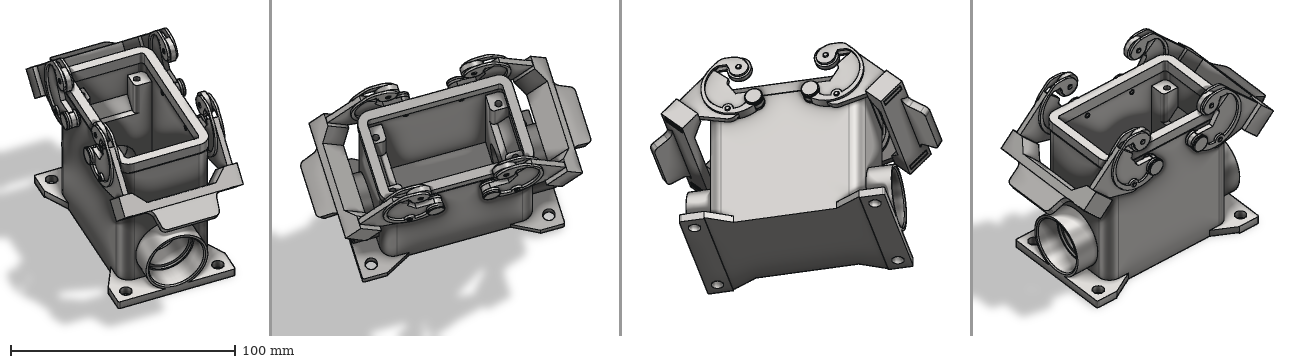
import cadquery as cq
import math

BODY_LENGTH = 71.0
BODY_WIDTH = 44.0
BODY_HALF_X = BODY_LENGTH / 2
BODY_HALF_Y = BODY_WIDTH / 2
BODY_CORNER_R = 6.3
BODY_BOTTOM_Z = 0.5
BODY_TOP_Z = 73.0
BAND_BOTTOM_Z = 67.6
BAND_STEP = 0.4
MOUTH_HALF_X = 31.5
MOUTH_HALF_Y = 17.9
MOUTH_CORNER_R = 1.5
LIP_BOTTOM_Z = 67.1
LIP_OVERHANG = 1.0
CAVITY_HALF_X = MOUTH_HALF_X + LIP_OVERHANG
CAVITY_HALF_Y = MOUTH_HALF_Y + LIP_OVERHANG
CAVITY_CORNER_R = 2.8

FOOT_LENGTH = 94.1
FOOT_WIDTH = 57.0
FOOT_HALF_X = FOOT_LENGTH / 2
FOOT_HALF_Y = FOOT_WIDTH / 2
FOOT_TOP_Z = 4.0
FOOT_WING_X = 23.5
FOOT_CORNER_R = 0.9
FOOT_HOLE_X = 41.3
FOOT_HOLE_Y = 22.4
FOOT_HOLE_D = 5.5
FLOOR_Z = FOOT_TOP_Z

ENTRY_Z = 17.9
ENTRY_D = 30.1
ENTRY_BORE_D = 26.6
ENTRY_SEAT_D = 25.2
ENTRY_HOLE_D = 22.8
ENTRY_CHAMFER = 0.6
ENTRY_SEAT_DEPTH = 1.3

POST_INNER_X = 24.2
POST_INNER_Y = 10.6
POST_TOP_Z = 61.2
POST_EDGE_R = 1.9
POST_HOLE_X = 28.5
POST_HOLE_Y = 13.5
POST_HOLE_D = 3.1
POST_HOLE_DEPTH = 10.2
LEDGE_Z = 44.8
LEDGE_WALL_Z = 50.0
LEDGE_RAMP_X = 27.3

PLATE_INNER_Y = 24.0
PLATE_OUTER_Y = 26.6
RIM_INNER_Y = 22.9
RIM_OUTER_Y = 27.8
ARM_X = -21.9
ARM_Z = 71.5
ARM_R = 15.4
ARM_TOE_ANGLE = -54.0
SHOULDER_R = 5.6
RIM_BORE_X = -22.3
RIM_BORE_Z = 72.3
RIM_BORE_R = 13.3
HOOK_X = -20.0
HOOK_Z = 81.1
HOOK_TOP_X = -23.0
HOOK_RIM_R = 4.5
ROLLER_R = 5.5
HOOK_THROAT_X = -29.3
HOOK_THROAT_Z = 83.2
RIM_BORE_START = (-31.2, 82.2)
PLATE_NOTCH = [(-25.0, 76.3), (-25.6, 74.0), (-21.6, BAND_BOTTOM_Z)]
PLATE_HEEL_ANGLE = -84.0
PLATE_HEEL_FRONT = (-22.4, 54.8)
PLATE_HEEL_LOW = (-24.5, 54.3)
PLATE_HEEL_BACK = (-26.7, 54.7)
PLATE_BACK_RUN = 23.0
PLATE_TOP_RUN = 0.6
RIM_TOE = (-20.5, 59.0)
RIM_TOE_END = (-17.0, 61.0)
RIVET_X = -25.0
RIVET_Z = 59.1
RIVET_R = 1.3
RIVET_CHAMFER = 0.4
RIVET_PROUD = 0.4
RIVET_BOSS_R = 2.5

PEG_X = -12.9
PEG_Z = 63.4
PEG_R = 4.1
PEG_RIM_R = 4.0
PEG_PLATE_R = 3.8
PEG_SHANK_R = 3.2
PEG_SPAN_Y = 58.0
PEG_OUTER_Y = PEG_SPAN_Y / 2
PEG_CHAMFER = 0.4
PEG_TAIL_R = 1.2
PEG_TAIL_RECESS = 0.5

BAR_X = -55.2
BAR_Z = 60.4
BAR_TILT = 45.0
BAR_DEPTH = 10.0
BAR_HEIGHT = 13.7
BAR_HALF_Y = 28.8
BAR_WEB = 4.1
BAR_POCKET_MOUTH_Y = 22.5
BAR_POCKET_FLOOR_Y = 16.8
BAR_SLOT_MARGIN = 1.5
BAR_SLOT_DEPTH = 0.4
TAB_TIP_X = -64.0
TAB_TIP_Z = 54.8
TAB_TILT = 32.0
TAB_THICKNESS = 3.7
TAB_LENGTH = 12.8
TAB_TIP_HALF_Y = 13.7
TAB_NECK_HALF_Y = 15.0
TAB_NECK = 7.9
TAB_ROOT = 11.1
TAB_ROOT_HALF_Y = 18.7
TAB_CORNER_R = 2.5


def block(x0, x1, y0, y1, z0, z1):
    return cq.Workplane("XY").box(x1 - x0, y1 - y0, z1 - z0, centered=False).translate((x0, y0, z0))


def rounded_block(half_x, half_y, z0, z1, radius):
    return block(-half_x, half_x, -half_y, half_y, z0, z1).edges("|Z").fillet(radius)


def along_y(sketch, y0, y1):
    """Extrude an XZ outline (drawn on the y = 0 plane) from y0 to y1."""
    return sketch.extrude(y0 - y1).translate((0, y0, 0))


def disc_y(x, z, radius, y0, y1):
    return along_y(cq.Workplane("XZ").center(x, z).circle(radius), y0, y1)


def disc_x(z, radius, x0, x1):
    return cq.Workplane("YZ").center(0, z).circle(radius).extrude(x1 - x0).translate((x0, 0, 0))


def both_ends(shape):
    return shape.union(shape.mirror("YZ"))


def both_sides(shape):
    return shape.union(shape.mirror("XZ"))


def on_circle(x, z, radius, degrees):
    angle = math.radians(degrees)
    return (x + radius * math.cos(angle), z + radius * math.sin(angle))


def feet():
    outline = [
        (-FOOT_HALF_X, -FOOT_HALF_Y),
        (-BODY_HALF_X, -FOOT_HALF_Y),
        (-FOOT_WING_X, -BODY_HALF_Y),
        (-FOOT_WING_X, BODY_HALF_Y),
        (-BODY_HALF_X, FOOT_HALF_Y),
        (-FOOT_HALF_X, FOOT_HALF_Y),
    ]
    foot = cq.Workplane("XY").polyline(outline).close().extrude(FOOT_TOP_Z)
    foot = foot.edges("|Z and <X").fillet(FOOT_CORNER_R)
    foot = foot.cut(block(-BODY_HALF_X, 0, -FOOT_HALF_Y, FOOT_HALF_Y, 0, BODY_BOTTOM_Z))
    holes = cq.Workplane("XY").pushPoints([(-FOOT_HOLE_X, -FOOT_HOLE_Y), (-FOOT_HOLE_X, FOOT_HOLE_Y)])
    return both_ends(foot.cut(holes.circle(FOOT_HOLE_D / 2).extrude(FOOT_TOP_Z)))


def ledge():
    outline = [
        (-CAVITY_HALF_X, FLOOR_Z),
        (-POST_INNER_X, FLOOR_Z),
        (-POST_INNER_X, LEDGE_Z),
        (-LEDGE_RAMP_X, LEDGE_Z),
        (-CAVITY_HALF_X, LEDGE_WALL_Z),
    ]
    return along_y(cq.Workplane("XZ").polyline(outline).close(), -CAVITY_HALF_Y, CAVITY_HALF_Y)


def screw_post():
    post = block(-CAVITY_HALF_X, -POST_INNER_X, POST_INNER_Y, CAVITY_HALF_Y, LEDGE_Z, POST_TOP_Z)
    post = post.edges("|Z and >X and <Y").fillet(POST_EDGE_R)
    hole_r = POST_HOLE_D / 2
    hole_bottom = cq.Vector(-POST_HOLE_X, POST_HOLE_Y, POST_TOP_Z - POST_HOLE_DEPTH)
    drill = cq.Solid.makeCylinder(hole_r, POST_HOLE_DEPTH, hole_bottom)
    drill_tip = cq.Solid.makeCone(hole_r, 0, hole_r, hole_bottom, cq.Vector(0, 0, -1))
    return post.cut(cq.Workplane(drill)).cut(cq.Workplane(drill_tip))


def cable_entry_bores():
    bore = disc_x(ENTRY_Z, ENTRY_BORE_D / 2, -FOOT_HALF_X, -BODY_HALF_X)
    chamfer = cq.Solid.makeCone(
        ENTRY_BORE_D / 2 + ENTRY_CHAMFER,
        ENTRY_BORE_D / 2,
        ENTRY_CHAMFER,
        cq.Vector(-FOOT_HALF_X, 0, ENTRY_Z),
        cq.Vector(1, 0, 0),
    )
    seat = disc_x(ENTRY_Z, ENTRY_SEAT_D / 2, -FOOT_HALF_X, ENTRY_SEAT_DEPTH - BODY_HALF_X)
    hole = disc_x(ENTRY_Z, ENTRY_HOLE_D / 2, -FOOT_HALF_X, 0)
    return both_ends(bore.union(cq.Workplane(chamfer)).union(seat).union(hole))


def housing():
    shell = rounded_block(BODY_HALF_X, BODY_HALF_Y, BODY_BOTTOM_Z, BODY_TOP_Z, BODY_CORNER_R)
    band = rounded_block(
        BODY_HALF_X + BAND_STEP, BODY_HALF_Y + BAND_STEP, BAND_BOTTOM_Z, BODY_TOP_Z, BODY_CORNER_R
    )
    entries = disc_x(ENTRY_Z, ENTRY_D / 2, -FOOT_HALF_X, FOOT_HALF_X)
    shell = shell.union(band).union(feet()).union(entries)
    shell = shell.cut(rounded_block(MOUTH_HALF_X, MOUTH_HALF_Y, FLOOR_Z, BODY_TOP_Z, MOUTH_CORNER_R))
    shell = shell.cut(rounded_block(CAVITY_HALF_X, CAVITY_HALF_Y, FLOOR_Z, LIP_BOTTOM_Z, CAVITY_CORNER_R))
    shell = shell.union(both_ends(ledge())).union(both_ends(both_sides(screw_post())))
    return shell.cut(cable_entry_bores())


ARM_TOE = on_circle(ARM_X, ARM_Z, ARM_R, ARM_TOE_ANGLE)
ARM_TOP_Z = ARM_Z + ARM_R
BACK_ANGLE = 90.0 + BAR_TILT
ARM_BACK = on_circle(ARM_X, ARM_Z, ARM_R, BACK_ANGLE)
PLATE_TOP = on_circle(*ARM_BACK, PLATE_TOP_RUN, BAR_TILT)


def arm_plate():
    bar_top = on_circle(BAR_X, BAR_Z, BAR_DEPTH, BAR_TILT)
    bar_bottom = on_circle(*bar_top, BAR_HEIGHT, -BAR_TILT)
    back_start = on_circle(*ARM_BACK, PLATE_BACK_RUN, BAR_TILT - 180)
    sketch = cq.Workplane("XZ").moveTo(*back_start).lineTo(*PLATE_TOP)
    for point in PLATE_NOTCH:
        sketch = sketch.lineTo(*point)
    sketch = sketch.lineTo(PEG_X, BAND_BOTTOM_Z).lineTo(*ARM_TOE)
    heel_mid = on_circle(ARM_X, ARM_Z, ARM_R, (ARM_TOE_ANGLE + PLATE_HEEL_ANGLE) / 2)
    heel_start = on_circle(ARM_X, ARM_Z, ARM_R, PLATE_HEEL_ANGLE)
    sketch = sketch.threePointArc(heel_mid, heel_start)
    sketch = sketch.lineTo(*PLATE_HEEL_FRONT).threePointArc(PLATE_HEEL_LOW, PLATE_HEEL_BACK)
    sketch = sketch.lineTo(*bar_bottom).close()
    return along_y(sketch, PLATE_INNER_Y, PLATE_OUTER_Y)


def arm_rim(y0, y1):
    sweep_mid = on_circle(ARM_X, ARM_Z, ARM_R, (360 + ARM_TOE_ANGLE + BACK_ANGLE) / 2)
    bore_left = (RIM_BORE_X - RIM_BORE_R, RIM_BORE_Z)
    shoulder_run = SHOULDER_R * math.tan(math.radians(BAR_TILT / 2))
    corner_x = ARM_BACK[0] + (ARM_TOP_Z - ARM_BACK[1]) / math.tan(math.radians(BAR_TILT))
    shoulder_start = on_circle(corner_x, ARM_TOP_Z, shoulder_run, BAR_TILT - 180)
    sketch = (
        cq.Workplane("XZ")
        .moveTo(*ARM_TOE)
        .threePointArc(sweep_mid, ARM_BACK)
        .lineTo(*shoulder_start)
        .tangentArcPoint((corner_x + shoulder_run, ARM_TOP_Z), relative=False)
        .lineTo(HOOK_TOP_X, ARM_TOP_Z)
        .tangentArcPoint((HOOK_X + HOOK_RIM_R, HOOK_Z), relative=False)
        .threePointArc((HOOK_X, HOOK_Z - HOOK_RIM_R), (HOOK_X - HOOK_RIM_R, HOOK_Z))
        .lineTo(HOOK_X - ROLLER_R, HOOK_THROAT_Z)
        .lineTo(HOOK_THROAT_X, HOOK_THROAT_Z)
        .lineTo(*RIM_BORE_START)
        .threePointArc(bore_left, RIM_TOE)
        .tangentArcPoint(RIM_TOE_END, relative=False)
        .lineTo(PEG_X, PEG_Z)
        .close()
    )
    rim = along_y(sketch, y0, y1)
    return rim.union(disc_y(RIVET_X, RIVET_Z, RIVET_BOSS_R, y0, y1))


def rivet(x, z):
    pin = disc_y(x, z, RIVET_R, RIM_INNER_Y - RIVET_PROUD, RIM_OUTER_Y + RIVET_PROUD)
    return pin.faces("<Y or >Y").chamfer(RIVET_CHAMFER)


def peg():
    shank = disc_y(PEG_X, PEG_Z, PEG_SHANK_R, BODY_HALF_Y, RIM_INNER_Y)
    inner = disc_y(PEG_X, PEG_Z, PEG_RIM_R, RIM_INNER_Y, PLATE_INNER_Y)
    middle = disc_y(PEG_X, PEG_Z, PEG_PLATE_R, PLATE_INNER_Y, PLATE_OUTER_Y)
    outer = disc_y(PEG_X, PEG_Z, PEG_RIM_R, PLATE_OUTER_Y, RIM_OUTER_Y)
    head = disc_y(PEG_X, PEG_Z, PEG_R, RIM_OUTER_Y, PEG_OUTER_Y).faces(">Y").chamfer(PEG_CHAMFER)
    return shank.union(inner).union(middle).union(outer).union(head)


def crossbar():
    bar = block(0, BAR_DEPTH, -BAR_HALF_Y, BAR_HALF_Y, -BAR_HEIGHT, 0)
    pocket = [
        (BAR_WEB, -BAR_POCKET_FLOOR_Y),
        (BAR_DEPTH, -BAR_POCKET_MOUTH_Y),
        (BAR_DEPTH, BAR_POCKET_MOUTH_Y),
        (BAR_WEB, BAR_POCKET_FLOOR_Y),
    ]
    bar = bar.cut(cq.Workplane("XY").polyline(pocket).close().extrude(-BAR_HEIGHT))
    slot = block(
        0, BAR_SLOT_DEPTH, PLATE_INNER_Y, PLATE_OUTER_Y, BAR_SLOT_MARGIN - BAR_HEIGHT, -BAR_SLOT_MARGIN
    )
    bar = bar.cut(both_sides(slot))
    return bar.rotate((0, 0, 0), (0, 1, 0), -BAR_TILT).translate((BAR_X, 0, BAR_Z))


def finger_tab():
    half = (
        cq.Workplane("XY")
        .moveTo(0, 0)
        .lineTo(0, TAB_TIP_HALF_Y)
        .lineTo(TAB_NECK, TAB_NECK_HALF_Y)
        .tangentArcPoint((TAB_ROOT, TAB_ROOT_HALF_Y), relative=False)
        .lineTo(TAB_LENGTH, TAB_ROOT_HALF_Y)
        .lineTo(TAB_LENGTH, 0)
        .close()
        .extrude(-TAB_THICKNESS)
    )
    tip_corner = cq.selectors.NearestToPointSelector((0, TAB_TIP_HALF_Y, -TAB_THICKNESS / 2))
    tab = both_sides(half.edges(tip_corner).fillet(TAB_CORNER_R))
    return tab.rotate((0, 0, 0), (0, 1, 0), -TAB_TILT).translate((TAB_TIP_X, 0, TAB_TIP_Z))


def lever():
    arm = arm_plate().union(arm_rim(RIM_INNER_Y, PLATE_INNER_Y)).union(arm_rim(PLATE_OUTER_Y, RIM_OUTER_Y))
    arm = arm.union(disc_y(HOOK_X, HOOK_Z, ROLLER_R, PLATE_INNER_Y, PLATE_OUTER_Y))
    arm = arm.union(peg()).union(rivet(HOOK_X, HOOK_Z)).union(rivet(RIVET_X, RIVET_Z))
    return both_sides(arm).union(crossbar()).union(finger_tab())


peg_tail_recesses = disc_y(PEG_X, PEG_Z, PEG_TAIL_R, CAVITY_HALF_Y, CAVITY_HALF_Y + PEG_TAIL_RECESS)
result = housing().union(both_ends(lever()))
result = result.cut(both_ends(both_sides(peg_tail_recesses)))